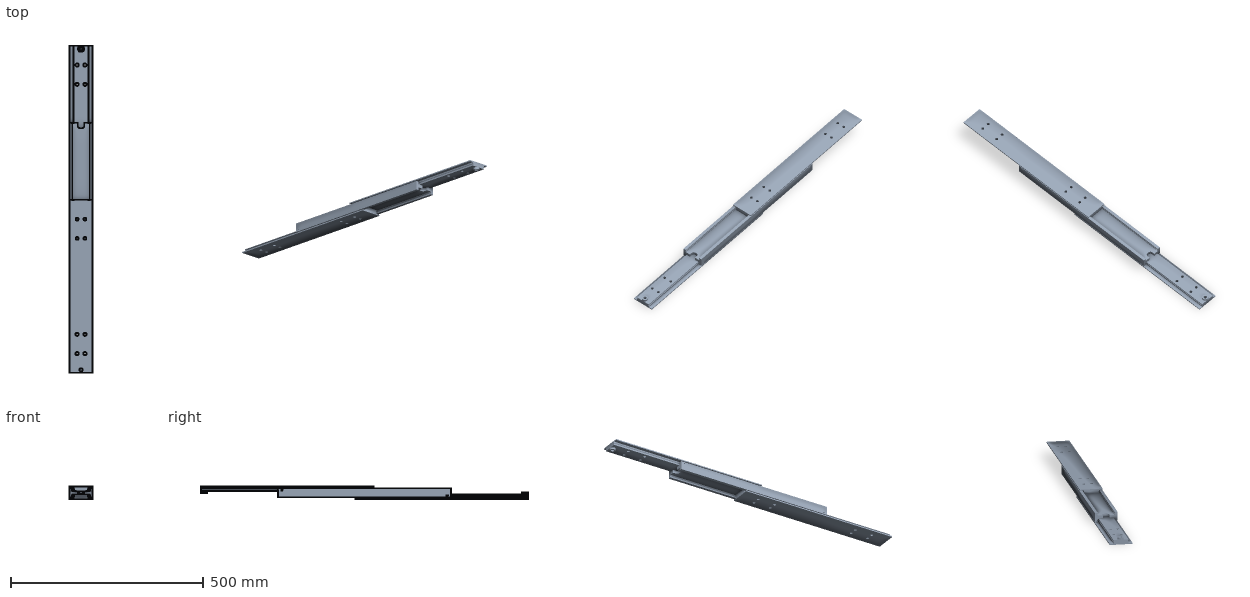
import cadquery as cq

total_width = 60.0
total_length = 850.0
total_height = 34.0
member_length = 450.0

rail_height = 13.0
plate_thickness = 3.0
block_width = 40.0
rail_offset = (total_length - member_length) / 2

web_thickness = total_height - 2 * rail_height
flange_height = 24.0
flange_gap = 44.0

track_x = (flange_gap + block_width) / 4
track_z = (flange_height + web_thickness) / 4
track_radius = 2.5

hole_diameter = 8.0
hole_spacing = 20.0
hole_end_distances = (50.0, 100.0)

bumper_radius = 8.1
bumper_height = 5.0
bore_radius = 4.0
bore_depth = 16.0

notch_width = 18.0
notch_depth = 14.5
notch_corner_radius = 8.0

stop_hole_diameter = 3.0
stop_hole_end_distance = 10.0


def centred(size):
    """Low and high end of a span of the given size about zero."""
    return (-size / 2, size / 2)


def box_between(x_range, y_range, z_range):
    """Box spanning the given (low, high) ranges."""
    ranges = (x_range, y_range, z_range)
    size = [high - low for low, high in ranges]
    centre = [(high + low) / 2 for low, high in ranges]
    return cq.Workplane("XY").box(*size).translate(tuple(centre))


def ball_tracks(length, z):
    """Two round rods along Y that cut the ball grooves on both sides at height z."""
    return (
        cq.Workplane("XZ", origin=(0, length / 2, 0))
        .pushPoints([(-track_x, z), (track_x, z)])
        .circle(track_radius)
        .extrude(length)
    )


def make_rail():
    """Rail with its plate on top and a bumper hanging from the block at its -Y end."""
    half_length = member_length / 2
    y_range = centred(member_length)
    plate_bottom = total_height / 2 - plate_thickness
    block_bottom = total_height / 2 - rail_height
    rail = box_between(centred(total_width), y_range, (plate_bottom, total_height / 2))
    rail = rail.union(
        box_between(centred(block_width), y_range, (block_bottom, plate_bottom))
    )
    rail = rail.cut(ball_tracks(member_length, track_z))

    hole_spots = [
        (x, end * (half_length - distance))
        for x in centred(hole_spacing)
        for end in (-1, 1)
        for distance in hole_end_distances
    ]
    holes = cq.Workplane("XY").pushPoints(hole_spots).circle(hole_diameter / 2).extrude(total_height)
    rail = rail.cut(holes)

    bumper_bottom = block_bottom - bumper_height
    bumper_base = cq.Workplane("XY", origin=(0, bumper_radius - half_length, bumper_bottom))
    rail = rail.union(bumper_base.circle(bumper_radius).extrude(bumper_height))
    rail = rail.cut(bumper_base.circle(bore_radius).extrude(bore_depth))
    return rail.translate((0, -rail_offset, 0))


def make_middle_member():
    """H section with ball grooves, a notch in each end of the web and a stop hole per track."""
    half_length = member_length / 2
    y_range = centred(member_length)
    z_range = centred(flange_height)
    member = box_between(centred(total_width), y_range, z_range)
    for side in (-1, 1):
        channel_z = sorted((side * web_thickness / 2, side * flange_height / 2))
        member = member.cut(box_between(centred(flange_gap), y_range, channel_z))
        member = member.cut(ball_tracks(member_length, side * track_z))

        notch_y = sorted((side * (half_length - notch_depth), side * (half_length + notch_depth)))
        notch = box_between(centred(notch_width), notch_y, z_range)
        member = member.cut(notch.edges("|Z").fillet(notch_corner_radius))

        stop_hole = (
            cq.Workplane("YZ", origin=(-total_width / 2, 0, 0))
            .center(side * (half_length - stop_hole_end_distance), -side * track_z)
            .circle(stop_hole_diameter / 2)
            .extrude(total_width)
        )
        member = member.cut(stop_hole)
    return member


rails = [make_rail().rotate((0, 0, 0), (1, 0, 0), turn) for turn in (0, 180)]
middle_member = make_middle_member()

result = cq.Compound.makeCompound([middle_member.val(), *[rail.val() for rail in rails]])